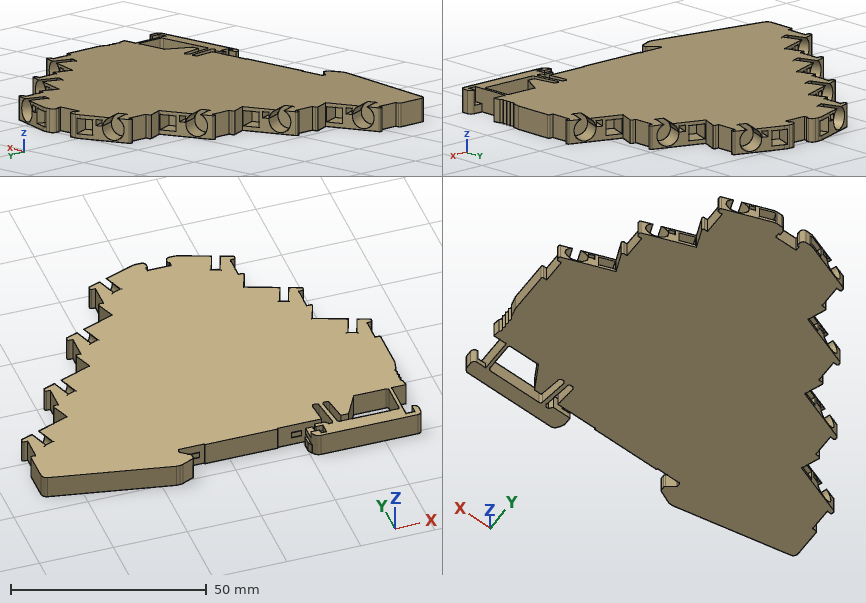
import cadquery as cq
import math

LENGTH = 100.8
THICKNESS = 6.2
CREST = 82.2

LEFT_LEVELS = (0, 1, 2, 3)
RIGHT_LEVELS = (1, 2, 3)
SLOPE_ANGLE = 20.0
CENTER_X = 56.5
PITCH_X = 12.3
PITCH_Y = 17.9
LOWEST_TIP_Y = 23.3
SLOPE_RUN = 14.2
TIP_HEIGHT = 1.1
TIP_ROUND = 0.4
NOTCH_DEPTH = 1.4
NOTCH_BOTTOM = 7.4
SHOULDER_BOTTOM = 8.0

CREST_BLEND = 4.0
CREST_ROUND = 1.2
CREST_SLOT_HALF = 3.2
CREST_SLOT_FLOOR = 78.8
CREST_LIP_Y = 80.0
CREST_LIP_HALF = 2.7

OPENING_DEPTH = 5.6
BORE_RADIUS = 3.0
BORE_Z = 3.4
BORE_ALONG = 10.5
LEVER_ALONG = 0.2
LEVER_LENGTH = 4.4
LEVER_Z = 1.2
LEVER_HEIGHT = 4.0
TEST_ALONG = 5.6
TEST_LENGTH = 1.7
TEST_Z = 3.8
TEST_HEIGHT = 1.6

HOOK_OUTLINE = (
    (0.0, 6.6, 1.6),
    (34.0, 0.0, 0.0),
    (35.4, 0.0, 2.0),
    (39.2, 1.7, 0.5),
    (39.2, 3.2, 0.5),
    (36.6, 5.1, 0.3),
    (36.6, 6.4, 0.3),
)

UNDERSIDE = 6.4
PAD_START = 43.7
PAD_END = 63.5
PAD_DROP = 0.3
NUB_DROP = 0.2
NUB_Z = 2.3
NUB_HEIGHT = 1.6
NUB_SPANS = ((38.8, 42.3), (67.2, 70.0))

GRIP_START_Y = 22.4
GRIP_TOP = 19.9
GRIP_CUSP_X = 100.2
GRIP_VALLEY_X = 99.8
GRIP_PITCH = 1.3
GRIP_COUNT = 4
GRIP_TOE_X = 100.5

RELIEF_TOP = 12.7
STRUT_LEFT = 95.7
STRUT_RIGHT = 96.6
BAR_LEFT = 71.1
BAR_RIGHT = 100.5
BAR_TOP = 3.9
BAR_LEFT_ROUND = 2.0
BAR_RIGHT_ROUND = 1.2
HEEL_TOP = 4.9
HEEL_RIGHT = 75.8
HEEL_FOOT = 76.6
CUTOUT_ROUND = 0.6
SLANT_TOP_LEFT = 76.6
SLANT_TOP_RIGHT = 77.7
SLANT_FOOT_LEFT = 77.8
SLANT_FOOT_RIGHT = 79.0
REAR_SLOT_LEFT = 74.9
REAR_SLOT_MOUTH = 75.4
TOOTH_BOTTOM = 6.1
TOOTH_TOP_LEFT = 79.4
TOOTH_LEFT = 80.5
TOOTH_RIGHT = 82.7
TOOTH_TOP_RIGHT = 86.3

LEDGE_LEFT = 70.5
LEDGE_HEIGHT = 2.6
LEDGE_CORNER_Y = 2.6
LEDGE_BOTTOM = 1.3
LATCH_BOTTOM_Z = 2.4
LATCH_TOP_Z = 4.4
LATCH_RIGHT = 73.0
LATCH_END_Y = 6.1
LATCH_POCKET_TOP = 3.8
LATCH_POCKET_BOTTOM = 2.2
LATCH_POCKET_RIGHT = 74.9
LATCH_WELL_LEFT = 73.5
LATCH_WELL_BOTTOM = 1.0

END_NOTCH_RIGHT = 99.0
END_NOTCH_BOTTOM = 1.5
END_NOTCH_DEPTH = 4.0

slope = math.radians(SLOPE_ANGLE)
slope_rise = SLOPE_RUN * math.tan(slope)


def rounded_prism(corners, height):
    """Extrude a closed outline of (x, y) or (x, y, radius) corners up from Z = 0."""
    path = []
    for index, corner in enumerate(corners):
        x, y = corner[:2]
        radius = corner[2] if len(corner) == 3 else 0
        if not radius:
            path.append(((x, y),))
            continue
        before = cq.Vector(*corners[index - 1][:2])
        after = cq.Vector(*corners[(index + 1) % len(corners)][:2])
        here = cq.Vector(x, y)
        to_before = (before - here).normalized()
        to_after = (after - here).normalized()
        half_angle = to_before.getAngle(to_after) / 2
        setback = radius / math.tan(half_angle)
        bisector = (to_before + to_after).normalized()
        middle = here + bisector * (radius / math.sin(half_angle) - radius)
        start = here + to_before * setback
        end = here + to_after * setback
        path.append((start.toTuple()[:2], middle.toTuple()[:2], end.toTuple()[:2]))

    outline = cq.Workplane("XY").moveTo(*path[0][-1])
    for step in path[1:] + path[:1]:
        outline = outline.lineTo(*step[0])
        if len(step) == 3:
            outline = outline.threePointArc(*step[1:])
    return outline.close().extrude(height)


def box(x_span, y_span, z_span):
    size = [span[1] - span[0] for span in (x_span, y_span, z_span)]
    corner = (x_span[0], y_span[0], z_span[0])
    return cq.Workplane("XY").box(*size, centered=False).translate(corner)


def mirror_flank(shape):
    """Mirror a shape from the left flank to the right one."""
    return shape.mirror("YZ", (CENTER_X, 0, 0))


def tip(level):
    """Outermost point of a tier on the left flank."""
    return level * PITCH_X, LOWEST_TIP_Y + level * PITCH_Y


def inner_corner(level):
    """Upper end of the slope of a tier on the left flank."""
    x, y = tip(level)
    return x + SLOPE_RUN, y + slope_rise


def flank(levels):
    """Corners of the left flank over the given tiers, from bottom to top."""
    corners = []
    for level in levels:
        x, y = tip(level)
        if level > levels[0]:
            corners.append(inner_corner(level - 1))
            corners.append((x, y - SHOULDER_BOTTOM))
        corners += [
            (x, y - NOTCH_BOTTOM, TIP_ROUND),
            (x + NOTCH_DEPTH, y - NOTCH_BOTTOM),
            (x + NOTCH_DEPTH, y - TIP_HEIGHT),
            (x, y - TIP_HEIGHT, TIP_ROUND),
            (x, y, TIP_ROUND),
        ]
    top_x, top_y = tip(levels[-1])
    corners.append((top_x + (CREST - top_y) / math.tan(slope), CREST, CREST_BLEND))
    return corners


def crest_slot():
    """Left half of the marker slot, from the crest down to the floor."""
    return [
        (CENTER_X - CREST_LIP_HALF, CREST, CREST_ROUND),
        (CENTER_X - CREST_LIP_HALF, CREST_LIP_Y),
        (CENTER_X - CREST_SLOT_HALF, CREST_LIP_Y),
        (CENTER_X - CREST_SLOT_HALF, CREST_SLOT_FLOOR),
    ]


def mirrored(corners):
    """The same corners on the right flank, in reverse order."""
    return [(2 * CENTER_X - corner[0], *corner[1:]) for corner in reversed(corners)]


def make_housing():
    """Plate with the flanks, the rail hook and the spring foot in one outline."""
    left_side = flank(LEFT_LEVELS) + crest_slot()
    right_side = mirrored(flank(RIGHT_LEVELS) + crest_slot())
    grip_end = GRIP_TOP - GRIP_COUNT * GRIP_PITCH
    right_edge = [
        (LENGTH, GRIP_START_Y),
        (GRIP_CUSP_X, GRIP_TOP),
        (GRIP_CUSP_X, grip_end),
        (GRIP_TOE_X, RELIEF_TOP),
    ]
    spring_foot = [
        (STRUT_RIGHT, RELIEF_TOP),
        (STRUT_RIGHT, BAR_TOP),
        (BAR_RIGHT, BAR_TOP, BAR_RIGHT_ROUND),
        (BAR_RIGHT, 0, BAR_RIGHT_ROUND),
        (BAR_LEFT, 0, BAR_LEFT_ROUND),
        (BAR_LEFT, HEEL_TOP),
        (HEEL_RIGHT, HEEL_TOP),
        (HEEL_FOOT, BAR_TOP),
        (SLANT_FOOT_LEFT, BAR_TOP, CUTOUT_ROUND),
        (SLANT_TOP_LEFT, RELIEF_TOP, CUTOUT_ROUND),
        (REAR_SLOT_LEFT, RELIEF_TOP, CUTOUT_ROUND),
        (REAR_SLOT_MOUTH, UNDERSIDE),
    ]
    pad = [
        (PAD_END, UNDERSIDE),
        (PAD_END, UNDERSIDE - PAD_DROP),
        (PAD_START, UNDERSIDE - PAD_DROP),
        (PAD_START, UNDERSIDE),
    ]
    hook = list(reversed(HOOK_OUTLINE))
    return rounded_prism(left_side + right_side + right_edge + spring_foot + pad + hook, THICKNESS)


def make_grip_scallops():
    """Row of shallow hollows down the right edge."""
    depth = GRIP_CUSP_X - GRIP_VALLEY_X
    radius = ((GRIP_PITCH / 2) ** 2 + depth ** 2) / (2 * depth)
    centers = [
        (GRIP_VALLEY_X + radius, GRIP_TOP - (index + 0.5) * GRIP_PITCH)
        for index in range(GRIP_COUNT)
    ]
    return cq.Workplane("XY").pushPoints(centers).circle(radius).extrude(THICKNESS)


def make_nubs():
    """Small raised pads on the underside."""
    y_span = (UNDERSIDE - NUB_DROP, UNDERSIDE + NUB_DROP)
    z_span = (NUB_Z, NUB_Z + NUB_HEIGHT)
    first, second = [box(x_span, y_span, z_span) for x_span in NUB_SPANS]
    return first.union(second)


def make_terminal_openings(level):
    """Lever pocket, test slot and wire bore sunk square into the slope of one tier."""
    x, y = inner_corner(level)
    down_slope = (-math.cos(slope), -math.sin(slope), 0)
    outward = (-math.sin(slope), math.cos(slope), 0)
    face = cq.Workplane(cq.Plane(origin=(x, y, 0), xDir=down_slope, normal=outward))
    openings = face.moveTo(BORE_ALONG, BORE_Z).circle(BORE_RADIUS).extrude(-OPENING_DEPTH)
    for along, length, bottom, height in (
        (LEVER_ALONG, LEVER_LENGTH, LEVER_Z, LEVER_HEIGHT),
        (TEST_ALONG, TEST_LENGTH, TEST_Z, TEST_HEIGHT),
    ):
        pocket = face.moveTo(along, bottom).rect(length, height, centered=False).extrude(-OPENING_DEPTH)
        openings = openings.union(pocket)
    return openings


def make_window():
    """Opening between the two struts of the spring foot, with the housing's tooth reaching into it."""
    return rounded_prism(
        [
            (SLANT_TOP_RIGHT, RELIEF_TOP, CUTOUT_ROUND),
            (TOOTH_TOP_LEFT, RELIEF_TOP, CUTOUT_ROUND),
            (TOOTH_LEFT, TOOTH_BOTTOM),
            (TOOTH_RIGHT, TOOTH_BOTTOM),
            (TOOTH_TOP_RIGHT, RELIEF_TOP),
            (STRUT_LEFT, RELIEF_TOP, CUTOUT_ROUND),
            (STRUT_LEFT, BAR_TOP, CUTOUT_ROUND),
            (SLANT_FOOT_RIGHT, BAR_TOP, CUTOUT_ROUND),
        ],
        THICKNESS,
    )


def make_latch_ledge():
    """Low step in front of the left end of the foot."""
    outline = [
        (LEDGE_LEFT, LEDGE_CORNER_Y),
        (LEDGE_LEFT, HEEL_TOP),
        (HEEL_RIGHT, HEEL_TOP),
        (HEEL_RIGHT, LEDGE_BOTTOM),
        (BAR_LEFT, LEDGE_BOTTOM),
    ]
    return rounded_prism(outline, LEDGE_HEIGHT)


def make_latch_post():
    """Finger reaching from the foot toward the housing."""
    return box((BAR_LEFT, LATCH_RIGHT), (LATCH_POCKET_TOP, LATCH_END_Y), (LATCH_BOTTOM_Z, LATCH_TOP_Z))


def make_latch_pocket():
    """Stepped pocket sunk from the top of the foot down to the latch finger."""
    z_span = (LATCH_TOP_Z, THICKNESS)
    entry = box((BAR_LEFT, LATCH_RIGHT), (LATCH_POCKET_BOTTOM, HEEL_TOP), z_span)
    middle = box((BAR_LEFT, LATCH_POCKET_RIGHT), (LATCH_POCKET_BOTTOM, LATCH_POCKET_TOP), z_span)
    well = box((LATCH_WELL_LEFT, LATCH_POCKET_RIGHT), (LATCH_WELL_BOTTOM, LATCH_POCKET_TOP), z_span)
    return entry.union(middle).union(well)


def make_end_notch():
    """Notch sunk from the top at the right end of the foot, open toward the housing."""
    return box(
        (STRUT_RIGHT, END_NOTCH_RIGHT),
        (END_NOTCH_BOTTOM, BAR_TOP),
        (THICKNESS - END_NOTCH_DEPTH, THICKNESS),
    )


result = make_housing()
for removed in (make_grip_scallops(), make_window(), make_latch_pocket(), make_end_notch()):
    result = result.cut(removed)
for added in (make_latch_ledge(), make_latch_post(), make_nubs()):
    result = result.union(added)

for level in LEFT_LEVELS:
    openings = make_terminal_openings(level)
    result = result.cut(openings)
    if level in RIGHT_LEVELS:
        result = result.cut(mirror_flank(openings))